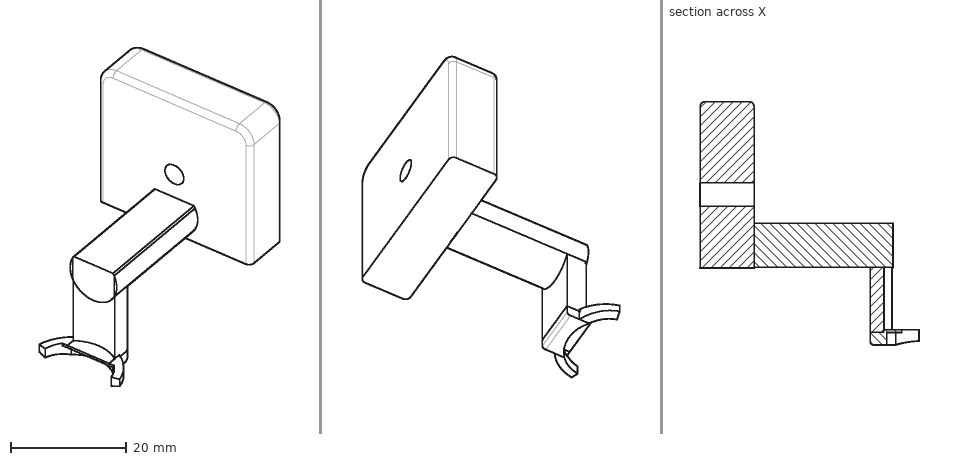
import cadquery as cq
import math


housing_width = 32.55
housing_height = 29.0
housing_depth = 9.5
corner_radius = 3.15
edge_radius = 1.0
hole_diameter = 4.02
hole_height = 12.8

arm_radius = 5.0
arm_axis_height = 5.12
arm_height = 7.85
arm_length = 24.1
core_width = 8.9
half_core = core_width / 2

foot_bottom = -13.35
lip_top = -10.65
lip_thickness = 0.5
lip_bottom = lip_top - lip_thickness
lip_reach = 1.52
leg_back = 4.0 - arm_length
heel_radius = 0.65

ring_outer_radius = 8.85
ring_inner_radius = 7.25
leg_front_radius = 7.7
overall_depth = 38.1
tip_y = housing_depth - overall_depth
ring_y = -30.25
tip_angle = math.asin((tip_y - ring_y) / ring_inner_radius)
tip_height = 1.55
tip_x = ring_outer_radius * math.cos(tip_angle)


def box(x_min, x_max, y_min, y_max, z_min, z_max):
    """Box given by its limits."""
    size = (x_max - x_min, y_max - y_min, z_max - z_min)
    return cq.Workplane("XY").box(*size, centered=False).translate((x_min, y_min, z_min))


def ring_cylinder(radius, z_min, z_max):
    """Upright cylinder on the shared claw axis."""
    return cq.Workplane("XY", origin=(0, ring_y, z_min)).circle(radius).extrude(z_max - z_min)


def arm_cylinder():
    """Full round bar that the arm is cut from."""
    return cq.Workplane("XZ").center(0, arm_axis_height).circle(arm_radius).extrude(arm_length)


def make_housing():
    body = box(-housing_width / 2, housing_width / 2, 0, housing_depth, 0, housing_height)
    body = body.edges("|Y and >Z").fillet(corner_radius)
    rims = body.faces("<Y or >Y").edges("not <Z")
    body = rims.fillet(edge_radius)
    hole = cq.Workplane("XZ").center(0, hole_height).circle(hole_diameter / 2).extrude(-housing_depth)
    return body.cut(hole)


def make_arm_strip(x_min, x_max):
    """Lengthwise strip of the flat-topped arm."""
    return arm_cylinder().intersect(box(x_min, x_max, -arm_length, 0, 0, arm_height))


def make_leg():
    """Upright with a concave front and a top saddled to the arm."""
    blank = box(-half_core, half_core, ring_y, leg_back, lip_bottom, arm_axis_height)
    blank = blank.cut(ring_cylinder(leg_front_radius, lip_bottom, arm_axis_height))
    return blank.cut(arm_cylinder())


def make_lip(x_min, x_max, radius):
    """Thin web with a straight front edge, bounded behind by the given radius."""
    web = box(x_min, x_max, -arm_length - lip_reach, leg_back, lip_bottom, lip_top)
    return web.intersect(ring_cylinder(radius, lip_bottom, lip_top))


def make_foot():
    """Block under the leg, with the lip in front of the leg."""
    block = box(-half_core, half_core, ring_y, leg_back, foot_bottom, lip_bottom)
    block = block.edges(">Y and <Z").fillet(heel_radius)
    block = block.cut(ring_cylinder(ring_inner_radius, foot_bottom, lip_bottom))
    return block.union(make_lip(-half_core, half_core, leg_front_radius))


def make_claw(side):
    """Curved finger with a radial tip and a rising underside; side is -1 or 1."""
    finger = ring_cylinder(ring_outer_radius, foot_bottom, lip_top)
    finger = finger.cut(ring_cylinder(ring_inner_radius, foot_bottom, lip_top))

    far_x = 2 * ring_outer_radius
    sector = (
        cq.Workplane("XY", origin=(0, ring_y, foot_bottom))
        .moveTo(half_core, half_core * math.tan(tip_angle))
        .lineTo(far_x, far_x * math.tan(tip_angle))
        .lineTo(far_x, far_x)
        .lineTo(half_core, far_x)
        .close()
        .extrude(lip_top - foot_bottom)
    )
    finger = finger.intersect(sector)
    finger = finger.union(make_lip(half_core, ring_outer_radius, ring_outer_radius))

    taper = (
        cq.Workplane("XZ", origin=(0, leg_back, 0))
        .moveTo(half_core, lip_top)
        .lineTo(half_core, foot_bottom)
        .lineTo(tip_x, lip_top - tip_height)
        .lineTo(tip_x, lip_top)
        .close()
        .extrude(overall_depth)
    )
    finger = finger.intersect(taper)
    return finger if side > 0 else finger.mirror("YZ")


housing = make_housing()
arm_core = make_arm_strip(-half_core, half_core)
arm_sides = [make_arm_strip(*limits) for limits in ((-arm_radius, -half_core), (half_core, arm_radius))]
leg = make_leg()
foot = make_foot()
claws = [make_claw(side) for side in (-1, 1)]

bodies = [housing, arm_core, *arm_sides, leg, foot, *claws]
result = cq.Compound.makeCompound([body.val() for body in bodies])